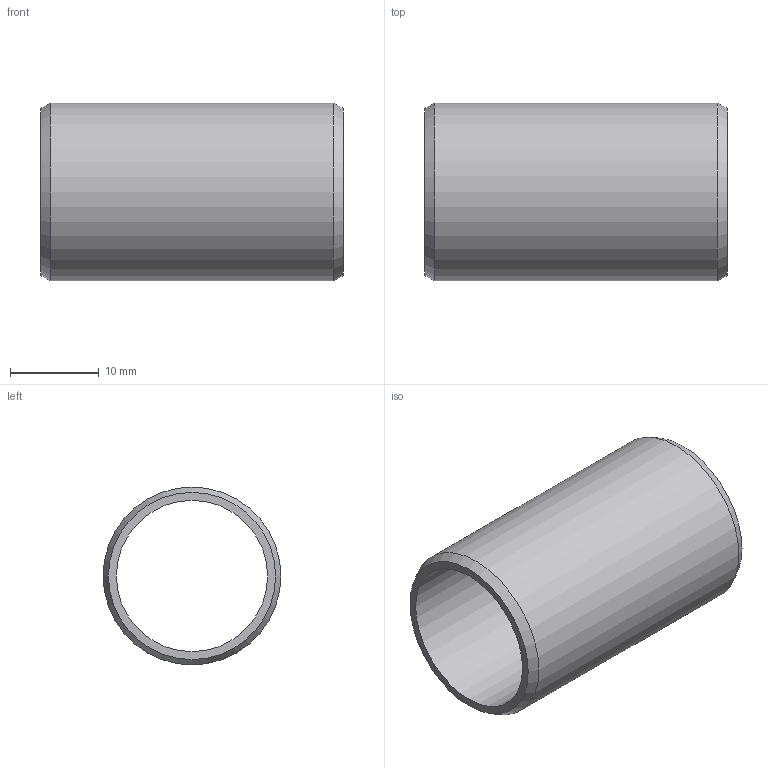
import cadquery as cq

length = 34.0
outer_diameter = 20.0
bore_diameter = 17.0
chamfer_length = 1.1
chamfer_depth = 0.6

outer_radius = outer_diameter / 2
bore_radius = bore_diameter / 2
end_radius = outer_radius - chamfer_depth
half_length = length / 2
shoulder = half_length - chamfer_length


def make_sleeve():
    """Revolve the wall section (axial position, radius) about the X axis."""
    section = [
        (-half_length, bore_radius),
        (-half_length, end_radius),
        (-shoulder, outer_radius),
        (shoulder, outer_radius),
        (half_length, end_radius),
        (half_length, bore_radius),
    ]
    axis_start = (0, 0, 0)
    axis_end = (1, 0, 0)
    return cq.Workplane("XY").polyline(section).close().revolve(360, axis_start, axis_end)


result = make_sleeve()